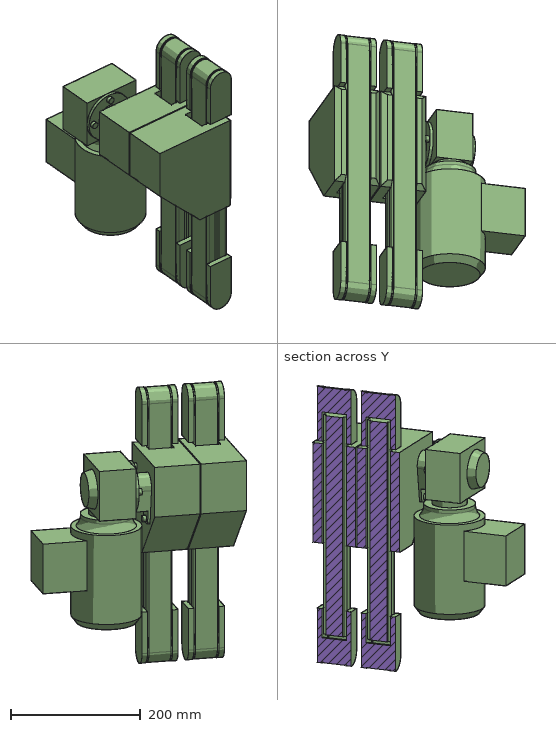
import cadquery as cq
import math


axis_count = 2
axis_pitch = 74.0
axis_height = 442.0
cover_depth = 42.0
cover_thickness = 9.0
cover_length = 87.5
rail_width = 40.0
rail_corner_radius = 4.5
rail_end_gap = 45.5
groove_width = 8.0
groove_depth = 5.5
pulley_diameter = 40.0
belt_width = 35.0
belt_thickness = 2.0
belt_recess = 0.5

carriage_width = 72.0
carriage_depth = 149.0
carriage_height = 160.0
carriage_top = 351.5
carriage_chamfer = 8.5
rail_slot_front = 97.5

shaft_diameter = 31.0
gearbox_width = 58.5
gearbox_depth = 97.7
gearbox_left = -88.0
flange_thickness = 5.0
cap_length = 13.3
cap_base_diameter = 62.0
cap_end_diameter = 53.5

hub_diameter = 40.2
arm_taper = 9.0
arm_plate_thickness = 4.0
arm_plate_reach = 60.0
arm_corner_radius = 5.0
arm_bolt_drop = 53.0
bolt_diameter = 10.0
bolt_head_height = 5.7
flange_bolt_count = 4
flange_bolt_radius = 32.5

motor_y = 70.8
motor_diameter = 109.5
motor_top = 242.5
motor_bottom = 88.5
motor_end_chamfer_height = 11.0
motor_end_diameter = 93.5
neck_diameter = 54.5
neck_length = 9.5
motor_flange_diameter = 80.0
motor_flange_thickness = 5.7
motor_flare_diameter = 93.0
motor_flare_sag = 1.5
terminal_box_left = -169.0
terminal_box_depth = 75.0
terminal_box_height = 80.0
terminal_box_top = 231.3

axis_xs = [carriage_width / 2 + i * axis_pitch for i in range(axis_count)]
rail_y = carriage_depth - cover_depth / 2
carriage_bottom = carriage_top - carriage_height
gearbox_height = carriage_height / 2
shaft_y = gearbox_height / 2
shaft_z = carriage_top - gearbox_height / 2
flange_diameter = gearbox_height
gearbox_bottom = carriage_top - gearbox_height
gearbox_right = gearbox_left + gearbox_width
flange_face = gearbox_right + flange_thickness
motor_x = gearbox_left + gearbox_width / 2


def box(x_min, x_max, y_min, y_max, z_min, z_max):
    """Box between the given limits."""
    size = (x_max - x_min, y_max - y_min, z_max - z_min)
    return cq.Workplane("XY").box(*size, centered=False).translate((x_min, y_min, z_min))


def rod(x_min, x_max, y, z, diameter):
    """Cylinder along X."""
    return cq.Workplane("YZ", origin=(x_min, y, z)).circle(diameter / 2).extrude(x_max - x_min)


def stadium(x_mid, width, inset):
    """Round-ended slab over the axis height, inset all round from the cover outline."""
    slab = cq.Workplane("YZ", origin=(x_mid - width / 2, rail_y, axis_height / 2))
    return slab.slot2D(axis_height - 2 * inset, cover_depth - 2 * inset, 90).extrude(width)


def end_covers(x_mid):
    """Round-ended cover plates on both sides of both pulleys."""
    covers_width = rail_width + 2 * cover_thickness
    slab = stadium(x_mid, covers_width, 0)
    rail_gap = box(x_mid - rail_width / 2, x_mid + rail_width / 2, 0, carriage_depth, 0, axis_height)
    middle = box(
        x_mid - covers_width / 2, x_mid + covers_width / 2, 0, carriage_depth,
        cover_length, axis_height - cover_length,
    )
    return slab.cut(rail_gap).cut(middle)


def rail(x_mid):
    """Square rail with rounded corners and a groove in each side."""
    length = axis_height - 2 * rail_end_gap
    profile = cq.Workplane("XY", origin=(x_mid, rail_y, rail_end_gap))
    grooves = profile.pushPoints([(-rail_width / 2, 0), (rail_width / 2, 0)])
    grooves = grooves.rect(2 * groove_depth, groove_width).extrude(length)
    body = profile.rect(rail_width, rail_width).extrude(length)
    return body.edges("|Z").fillet(rail_corner_radius).cut(grooves)


def belt(x_mid):
    """Closed belt loop, recessed a little inside the outline of the covers."""
    inside = stadium(x_mid, belt_width, belt_recess + belt_thickness)
    return stadium(x_mid, belt_width, belt_recess).cut(inside)


def carriage(x_mid):
    """Carriage with a sloped underside, chamfered back and a slot for the rail."""
    left = x_mid - carriage_width / 2
    block = box(left, left + carriage_width, 0, carriage_depth, carriage_bottom, carriage_top)
    block = block.faces(">Y").chamfer(carriage_chamfer)
    slope_drop = gearbox_bottom - carriage_bottom
    corner = (
        cq.Workplane("YZ", origin=(left, 0, 0))
        .moveTo(0, gearbox_bottom)
        .lineTo(slope_drop, carriage_bottom)
        .lineTo(0, carriage_bottom)
        .close()
        .extrude(carriage_width)
    )
    slot = box(
        x_mid - rail_width / 2, x_mid + rail_width / 2,
        rail_slot_front, carriage_depth, carriage_bottom, carriage_top,
    )
    return block.cut(corner).cut(slot)


def linear_axis(x_mid):
    """One rail with its pulleys, belt, covers and carriage."""
    axis = carriage(x_mid).union(rail(x_mid)).union(end_covers(x_mid)).union(belt(x_mid))
    for z in (cover_depth / 2, axis_height - cover_depth / 2):
        half = rail_width / 2
        axis = axis.union(rod(x_mid - half, x_mid + half, rail_y, z, pulley_diameter))
    return axis


def gearbox():
    """Gear housing with a tapered cap, an output flange and the flange bolts."""
    housing = box(gearbox_left, gearbox_right, 0, gearbox_depth, gearbox_bottom, carriage_top)
    cap = (
        cq.Workplane("YZ", origin=(gearbox_left - cap_length, shaft_y, shaft_z))
        .circle(cap_end_diameter / 2)
        .workplane(offset=cap_length)
        .circle(cap_base_diameter / 2)
        .loft(ruled=True)
    )
    housing = housing.union(cap)
    flange = rod(gearbox_right, flange_face, shaft_y, shaft_z, flange_diameter)
    housing = housing.union(flange)
    for i in range(flange_bolt_count):
        angle = 2 * math.pi * i / flange_bolt_count
        y = shaft_y + flange_bolt_radius * math.cos(angle)
        z = shaft_z + flange_bolt_radius * math.sin(angle)
        head = rod(flange_face, flange_face + bolt_head_height, y, z, bolt_diameter)
        housing = housing.union(head)
    return housing


def tapered_arm(x_min, x_max):
    """Hub around the shaft with straight sides that narrow downward to a flat end."""
    radius = hub_diameter / 2
    taper = math.radians(arm_taper)
    tangent_y = radius * math.cos(taper)
    tangent_z = -radius * math.sin(taper)
    end_y = tangent_y - (arm_plate_reach + tangent_z) * math.tan(taper)
    outline = (
        cq.Workplane("YZ", origin=(x_min, shaft_y, shaft_z))
        .moveTo(-tangent_y, tangent_z)
        .threePointArc((0, radius), (tangent_y, tangent_z))
        .lineTo(end_y, -arm_plate_reach)
        .lineTo(-end_y, -arm_plate_reach)
        .close()
    )
    return outline.extrude(x_max - x_min)


def torque_arm():
    """Thick arm ending at the flange rim, plus a longer plate bolted to the carriage."""
    within_flange = rod(flange_face, 0, shaft_y, shaft_z, flange_diameter)
    boss = tapered_arm(flange_face, 0).intersect(within_flange)
    plate = tapered_arm(-arm_plate_thickness, 0)
    plate = plate.faces("<Z").edges("|X").fillet(arm_corner_radius)
    bolt = rod(
        -arm_plate_thickness - bolt_head_height, 0, shaft_y, shaft_z - arm_bolt_drop, bolt_diameter
    )
    return boss.union(plate).union(bolt)


def motor():
    """Turned motor body below the gearbox, with a terminal box on its left side."""
    neck_bottom = gearbox_bottom - neck_length
    flange_bottom = neck_bottom - motor_flange_thickness
    flange_radius = motor_flange_diameter / 2
    flare_radius = motor_flare_diameter / 2
    flare_middle = (
        (flange_radius + flare_radius) / 2 - motor_flare_sag,
        (flange_bottom + motor_top) / 2,
    )
    profile = (
        cq.Workplane("XZ")
        .moveTo(0, gearbox_bottom)
        .lineTo(neck_diameter / 2, gearbox_bottom)
        .lineTo(neck_diameter / 2, neck_bottom)
        .lineTo(flange_radius, neck_bottom)
        .lineTo(flange_radius, flange_bottom)
        .threePointArc(flare_middle, (flare_radius, motor_top))
        .lineTo(motor_diameter / 2, motor_top)
        .lineTo(motor_diameter / 2, motor_bottom + motor_end_chamfer_height)
        .lineTo(motor_end_diameter / 2, motor_bottom)
        .lineTo(0, motor_bottom)
        .close()
    )
    body = profile.revolve(360, (0, 0, 0), (0, 1, 0))
    body = body.translate((motor_x, motor_y, 0))
    terminal_box = box(
        terminal_box_left, motor_x,
        motor_y - terminal_box_depth / 2, motor_y + terminal_box_depth / 2,
        terminal_box_top - terminal_box_height, terminal_box_top,
    )
    return body.union(terminal_box)


drive_shaft = rod(0, axis_xs[-1], shaft_y, shaft_z, shaft_diameter)
result = gearbox().union(motor()).union(torque_arm())
for axis_x in axis_xs:
    result = result.union(linear_axis(axis_x))
result = result.union(drive_shaft)